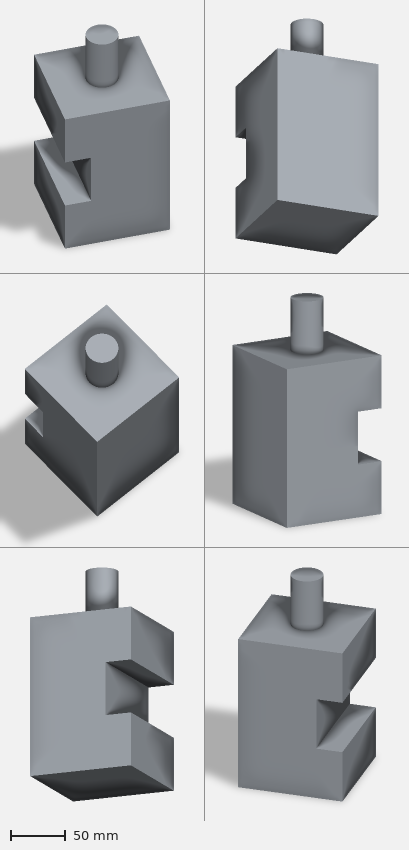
import cadquery as cq

block_width = 100.0
block_height = 150.0

shank_diameter = 30.0
shank_height = 50.0

slot_height = block_height / 3
slot_depth = block_width / 4

block = cq.Workplane("XY").box(block_width, block_width, block_height, centered=(True, True, False))

shank = (
    cq.Workplane("XY")
    .workplane(offset=block_height)
    .circle(shank_diameter / 2)
    .extrude(shank_height)
)

slot = (
    cq.Workplane("XY")
    .box(block_width, slot_depth, slot_height)
    .translate((0, (slot_depth - block_width) / 2, block_height / 2))
)

result = block.union(shank).cut(slot)